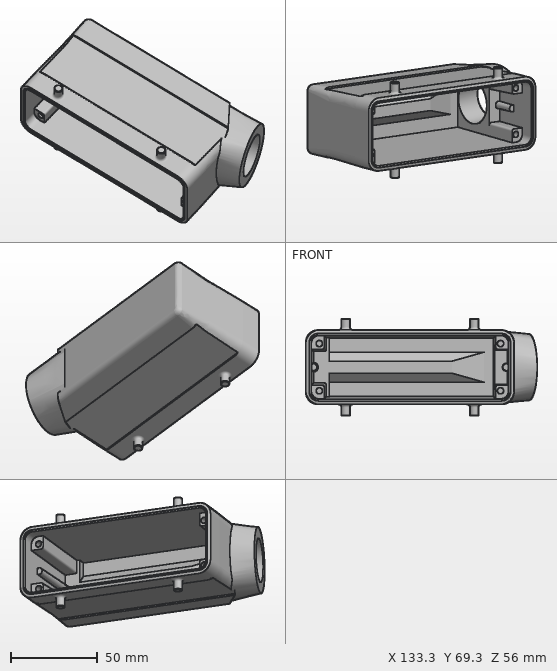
import cadquery as cq
import math


length = 120.0
width = 42.9
corner_radius = 7.5
height = 62.5
collar_height = 13.2
draft_inset = 1.0
corner_taper_start = 38.7
roof_corner_radius = 3.3
roof_edge_radius = 2.9
rim_bevel_width = 1.6
rim_bevel_depth = 0.4

panel_top = 46.4
panel_bottom_z = 20.7
panel_top_z = 19.7

rim_step_inset = 2.0
rim_step_depth = 0.5
cavity_inset = 3.0
cavity_draft = 1.6
cavity_depth = 59.2
cavity_corner_radius = 4.3
ledge_depth = 29.9

ridge_start = 13.6
ridge_height = 5.3
ridge_end = 102.6
ridge_ramp = 18.4
ridge_base_width = 17.3
ridge_top_width = 6.9

boss_depth = 8.8
boss_length_x = 7.6
boss_inner_z = 10.3
boss_edge_radius = 1.3
screw_spacing_x = 104.2
screw_spacing_z = 27.2
screw_hole_diameter = 3.6
screw_hole_depth = 16.0

nub_diameter = 4.0
nub_depth = 16.8
nub_offset = 1.5
nub_draft_angle = 1.0

bevel_points = [(103.7, height), (115.0, 46.0), (length, 33.3)]

neck_tilt = 15.0
neck_diameter = 38.4
neck_length = 26.7
neck_root_height = 39.2
neck_root_width = 43.5
neck_root_radius = 9.3
neck_root_limit = 20.0
neck_reach = 133.3
neck_peak = 69.3
bore_diameter = 25.3

peg_spacing = 74.0
peg_y = 5.9
peg_diameter = 5.0
peg_span = 56.0
peg_flare = 1.6
peg_root = 1.3
peg_chamfer = 0.4

mid_x = length / 2
half_width = width / 2
plate_thickness = 1.3


def rectangle(y, x_min, x_max, z_span):
    """Rectangle centred on Z = 0 in the plane at height y."""
    return cq.Workplane("XZ", origin=((x_min + x_max) / 2, y, 0)).rect(x_max - x_min, z_span)


def rounded_rectangle(y, x_min, x_max, z_span, radius):
    """Wire of a rectangle with rounded corners in the plane at height y."""
    plate = rectangle(y, x_min, x_max, z_span).extrude(-plate_thickness)
    return plate.edges("|Y").fillet(radius).faces("<Y").wires().val()


def stack(wires):
    """Solid with straight walls between consecutive outlines."""
    return cq.Workplane(cq.Solid.makeLoft(wires, True))


def inset_outline(y, inset, radius):
    return rounded_rectangle(y, inset, length - inset, width - 2 * inset, radius)


def hood_lean(y):
    return draft_inset * (y - collar_height) / (height - collar_height)


def hood_outline(y, radius):
    return inset_outline(y, hood_lean(y), radius)


def make_hood():
    mid_corner_radius = corner_radius - hood_lean(corner_taper_start)
    rim = stack([
        inset_outline(0, rim_bevel_width, corner_radius - rim_bevel_width),
        inset_outline(rim_bevel_depth, 0, corner_radius),
    ])
    collar = stack([
        inset_outline(rim_bevel_depth, 0, corner_radius),
        inset_outline(collar_height, 0, corner_radius),
    ])
    lower = stack([
        hood_outline(collar_height, corner_radius),
        hood_outline(corner_taper_start, mid_corner_radius),
    ])
    upper = stack([
        hood_outline(corner_taper_start, mid_corner_radius),
        hood_outline(height, roof_corner_radius),
    ]).faces(">Y").edges().fillet(roof_edge_radius)
    return rim.union(collar).union(lower).union(upper)


def make_panel_recess():
    profile = [
        (collar_height, panel_bottom_z),
        (collar_height, width),
        (panel_top, width),
        (panel_top, panel_top_z),
    ]
    recess = cq.Workplane("YZ").polyline(profile).close().extrude(length)
    return recess.union(recess.mirror("XY"))


def make_neck_bevel():
    profile = [*bevel_points, (length, height)]
    return cq.Workplane("XY").polyline(profile).close().extrude(half_width, both=True)


tilt = math.radians(neck_tilt)
neck_center_x = neck_reach - neck_diameter / 2 * math.sin(tilt)
neck_center_y = neck_peak - neck_diameter / 2 * math.cos(tilt)
neck_direction = cq.Vector(math.cos(tilt), math.sin(tilt), 0)
neck_end = cq.Plane(
    origin=(neck_center_x, neck_center_y, 0),
    xDir=(0, 0, 1),
    normal=neck_direction.toTuple(),
)


def make_neck():
    root = cq.Sketch().rect(neck_root_width, neck_root_height).vertices().fillet(neck_root_radius)
    mouth = cq.Sketch().circle(neck_diameter / 2).moved(cq.Location(cq.Vector(0, 0, neck_length)))
    return cq.Workplane(neck_end).workplane(offset=-neck_length).placeSketch(root, mouth).loft()


def make_root_trim():
    """Slabs outside the hood faces, which keep the wide neck root buried in the hood."""
    slab = (
        cq.Workplane("XY", origin=(0, 0, neck_root_limit))
        .rect(length, neck_peak, centered=False)
        .extrude(width)
    )
    return slab.union(slab.mirror("XY"))


def make_bore():
    return cq.Workplane(neck_end).circle(bore_diameter / 2).extrude(-neck_length)


def cavity_lean(y):
    return cavity_draft * y / cavity_depth


def boss_lean(y):
    return cavity_draft * (y - boss_depth) / cavity_depth


def make_upper_chamber():
    """Full-length part of the cavity, from the rim to the ledge."""
    return stack([
        inset_outline(y, cavity_inset + cavity_lean(y), cavity_corner_radius)
        for y in (0, ledge_depth)
    ])


def make_deep_chamber():
    """Sharp-cornered part of the cavity, ending flush with the +X bosses."""
    end_wall_x = length - cavity_inset - boss_length_x
    outlines = []
    for y in (ledge_depth, cavity_depth):
        inset = cavity_inset + cavity_lean(y)
        outline = rectangle(y, inset, end_wall_x - boss_lean(y), width - 2 * inset)
        outlines.append(outline.wires().val())
    return stack(outlines)


def make_ridge():
    crest_y = cavity_depth - ridge_height
    half_base = ridge_base_width / 2
    half_top = ridge_top_width / 2
    end_block = rectangle(crest_y, 0, ridge_start, width).extrude(-ridge_height)
    prism = (
        cq.Workplane("YZ")
        .polyline([
            (cavity_depth, -half_base),
            (crest_y, -half_top),
            (crest_y, half_top),
            (cavity_depth, half_base),
        ])
        .close()
        .extrude(ridge_end)
    )
    hip = (
        cq.Workplane("XY")
        .polyline([
            (ridge_end, cavity_depth),
            (ridge_end - ridge_ramp, crest_y),
            (ridge_end, crest_y),
        ])
        .close()
        .extrude(half_base, both=True)
    )
    return end_block.union(prism.cut(hip))


def make_boss(side_x, side_z, depth):
    """Corner post from its screw face down to depth; side_x and side_z pick the corner."""
    wall_x = mid_x + side_x * mid_x
    wall_z = side_z * half_width
    outlines = []
    for y, grow in ((boss_depth, 0), (depth, boss_lean(depth))):
        inner_x = mid_x + side_x * (mid_x - cavity_inset - boss_length_x - grow)
        inner_z = side_z * (boss_inner_z - grow)
        block = (
            cq.Workplane("XZ", origin=((wall_x + inner_x) / 2, y, (wall_z + inner_z) / 2))
            .rect(abs(wall_x - inner_x), abs(wall_z - inner_z))
            .extrude(-plate_thickness)
        )
        x_pick = "<X" if side_x > 0 else ">X"
        z_pick = "<Z" if side_z > 0 else ">Z"
        block = block.faces(x_pick).edges("|Y").edges(z_pick).fillet(boss_edge_radius)
        outlines.append(block.faces("<Y").wires().val())
    return stack(outlines)


def make_nub(x, depth):
    nub = cq.Workplane("XZ", origin=(x, nub_depth, 0)).circle(nub_diameter / 2)
    return nub.extrude(nub_depth - depth, taper=-nub_draft_angle)


def make_screw_holes():
    return (
        cq.Workplane("XZ", origin=(mid_x, boss_depth, 0))
        .rarray(screw_spacing_x, screw_spacing_z, 2, 2)
        .circle(screw_hole_diameter / 2)
        .extrude(-screw_hole_depth)
    )


def make_cavity():
    rim_step = stack([
        inset_outline(0, rim_step_inset, corner_radius - rim_step_inset),
        inset_outline(rim_step_depth, rim_step_inset, corner_radius - rim_step_inset),
    ])
    cavity = make_upper_chamber().union(make_deep_chamber())
    for side_z in (-1, 1):
        cavity = cavity.cut(make_boss(-1, side_z, cavity_depth))
        cavity = cavity.cut(make_boss(1, side_z, ledge_depth))
    nub_x = cavity_inset + nub_offset
    cavity = cavity.cut(make_nub(nub_x, cavity_depth))
    cavity = cavity.cut(make_nub(length - nub_x, ledge_depth))
    return cavity.cut(make_ridge()).union(rim_step)


def make_peg(x):
    """Peg on the +Z side with a concave flare where it leaves the collar."""
    radius = peg_diameter / 2
    tip = peg_span / 2
    profile = (
        cq.Workplane("XZ", origin=(x, peg_y, 0))
        .moveTo(0, half_width - peg_root)
        .lineTo(radius + peg_flare, half_width - peg_root)
        .lineTo(radius + peg_flare, half_width)
        .radiusArc((radius, half_width + peg_flare), peg_flare)
        .lineTo(radius, tip - peg_chamfer)
        .lineTo(radius - peg_chamfer, tip)
        .lineTo(0, tip)
        .close()
    )
    return profile.revolve(360, (0, 0, 0), (0, 1, 0))


bevel = make_neck_bevel()
recess = make_panel_recess()
outside_root = recess.union(make_root_trim()).cut(bevel)
neck = make_neck().cut(outside_root)
hood = make_hood().cut(recess).cut(bevel).union(neck)
for peg_x in (mid_x - peg_spacing / 2, mid_x + peg_spacing / 2):
    peg = make_peg(peg_x)
    hood = hood.union(peg).union(peg.mirror("XY"))

result = hood.cut(make_cavity()).cut(make_bore()).cut(make_screw_holes()).solids()